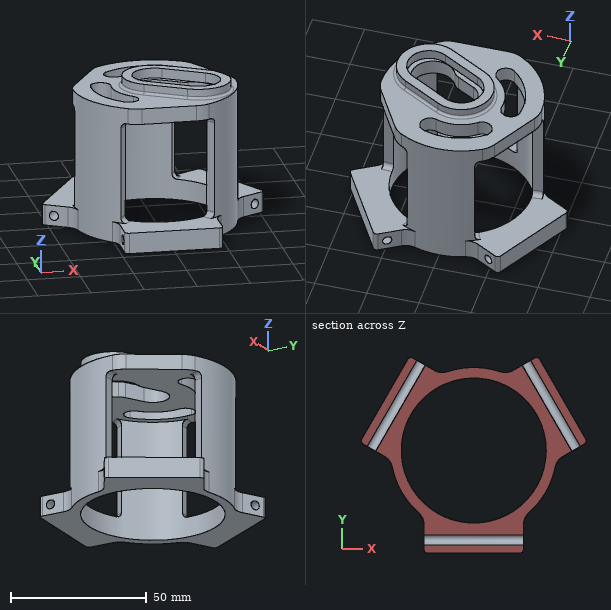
import cadquery as cq
import math

pad_height = 8.0
plate_top = 52.7
total_height = 56.5
plate_thickness = 6.0
plate_bottom = plate_top - plate_thickness
rim_height = total_height - plate_top

body_radius = 30.8
bore_radius = 53.4 / 2
window_angle = 70.0
window_fillet = 2.0
flat_distance = 28.0
flat_blend_radius = 10.0

pad_angles = (30, 150, 270)
pad_reach = 38.0
pad_width = 36.85
pad_corner_radius = 1.5
pad_neck_radius = 6.0
pad_hole_diameter = 3.5
pad_hole_distance = 33.0

rim_angle = -30.0
rim_length = 17.0
rim_radius = 12.15
rim_foot_fillet = 1.0
recess_radius = 8.3
keyhole_narrow_radius = 6.2
keyhole_wide_radius = 8.2
keyhole_length = 15.0
keyhole_blend_radius = 5.0

slot_path_radius = 20.0
slot_width = 7.5
slot_near_angle = 22.0
slot_far_angle = 80.0


def polar(radius, degrees):
    """Point at the given radius and angle around the body axis."""
    angle = math.radians(degrees)
    return (radius * math.cos(angle), radius * math.sin(angle))


def oblong(radius, bottom, height):
    """Round-ended block from the body axis to the far end of the rim."""
    return (
        cq.Workplane("XY", origin=(0, 0, bottom))
        .center(rim_length / 2, 0)
        .slot2D(rim_length + 2 * radius, 2 * radius)
        .extrude(height)
        .rotate((0, 0, 0), (0, 0, 1), rim_angle)
    )


def base():
    """Round flange with three pads, blended at their necks."""
    flange = cq.Workplane("XY").circle(body_radius).extrude(pad_height)
    for angle in pad_angles:
        pad = (
            cq.Workplane("XY")
            .center(pad_reach / 2, 0)
            .rect(pad_reach, pad_width)
            .extrude(pad_height)
            .edges("|Z and >X")
            .fillet(pad_corner_radius)
        )
        flange = flange.union(pad.rotate((0, 0, 0), (0, 0, 1), angle))

    neck_half_angle = math.degrees(math.asin(pad_width / 2 / body_radius))
    for angle in pad_angles:
        for side in (-1, 1):
            x, y = polar(body_radius, angle + side * neck_half_angle)
            corner = cq.selectors.NearestToPointSelector((x, y, pad_height / 2))
            flange = flange.edges("|Z").edges(corner).fillet(pad_neck_radius)
    return flange


def upper_body():
    """Solid column above the base, flattened over each pad with blended flats."""
    height = plate_top - pad_height
    column = cq.Workplane("XY", origin=(0, 0, pad_height)).circle(body_radius).extrude(height)
    for angle in pad_angles:
        beyond_flat = (
            cq.Workplane("XY", origin=(flat_distance + body_radius / 2, 0, pad_height))
            .rect(body_radius, 2 * body_radius)
            .extrude(height)
            .rotate((0, 0, 0), (0, 0, 1), angle)
        )
        column = column.cut(beyond_flat)
    return column.edges("|Z").fillet(flat_blend_radius)


def add_rim(body):
    """Stand the oblong rim on the plate with a concave blend around its foot."""
    side_distance = math.hypot(rim_length / 2, rim_radius)
    side_angle = rim_angle + math.degrees(math.atan2(rim_radius, rim_length / 2))
    side_x, side_y = polar(side_distance, side_angle)
    foot_edge = cq.selectors.NearestToPointSelector((side_x, side_y, plate_top))
    rim = oblong(rim_radius, plate_top, rim_height)
    return body.union(rim).edges(foot_edge).fillet(rim_foot_fillet)


def window(angle):
    """Wedge between two legs, with rounded corners at its top and bottom."""
    half_angle = window_angle / 2
    reach = 2 * body_radius
    return (
        cq.Workplane("XY", origin=(0, 0, pad_height))
        .polyline([(0, 0), polar(reach, -half_angle), polar(reach, half_angle)])
        .close()
        .extrude(plate_bottom - pad_height)
        .faces("|Z")
        .edges("not >X")
        .fillet(window_fillet)
        .rotate((0, 0, 0), (0, 0, 1), angle)
    )


def pad_hole(angle):
    """Hole running across a pad from side to side."""
    return (
        cq.Workplane("XZ", origin=(pad_hole_distance, pad_width / 2, pad_height / 2))
        .circle(pad_hole_diameter / 2)
        .extrude(pad_width)
        .rotate((0, 0, 0), (0, 0, 1), angle)
    )


def keyhole():
    """Narrow slot opening into a larger round hole, cut through the plate."""
    half = keyhole_narrow_radius
    wide = cq.Workplane("XY").center(keyhole_length, 0).circle(keyhole_wide_radius).extrude(plate_thickness)
    narrow = cq.Workplane("XY").circle(half).extrude(plate_thickness)
    throat = (
        cq.Workplane("XY")
        .center(keyhole_length / 2, 0)
        .rect(keyhole_length, 2 * half)
        .extrude(plate_thickness)
    )
    cutter = wide.union(narrow).union(throat)
    corner_x = keyhole_length - math.sqrt(keyhole_wide_radius**2 - half**2)
    for side in (-1, 1):
        corner = cq.selectors.NearestToPointSelector((corner_x, side * half, plate_thickness / 2))
        cutter = cutter.edges("|Z").edges(corner).fillet(keyhole_blend_radius)
    return cutter.rotate((0, 0, 0), (0, 0, 1), rim_angle).translate((0, 0, plate_bottom))


def curved_slot(start, end):
    """Round-ended slot following an arc around the body axis."""
    inner = slot_path_radius - slot_width / 2
    outer = slot_path_radius + slot_width / 2
    middle = (start + end) / 2
    cutter = (
        cq.Workplane("XY", origin=(0, 0, plate_bottom))
        .moveTo(*polar(inner, start))
        .threePointArc(polar(inner, middle), polar(inner, end))
        .lineTo(*polar(outer, end))
        .threePointArc(polar(outer, middle), polar(outer, start))
        .close()
        .extrude(plate_thickness)
    )
    ends = (
        cq.Workplane("XY", origin=(0, 0, plate_bottom))
        .pushPoints([polar(slot_path_radius, start), polar(slot_path_radius, end)])
        .circle(slot_width / 2)
        .extrude(plate_thickness)
    )
    return cutter.union(ends)


result = base().union(upper_body())
result = add_rim(result)

result = result.cut(cq.Workplane("XY").circle(bore_radius).extrude(plate_bottom))
for pad_angle in pad_angles:
    result = result.cut(window(pad_angle)).cut(pad_hole(pad_angle))

result = result.cut(oblong(recess_radius, plate_top, rim_height))
result = result.cut(keyhole())

slot_axis = rim_angle + 180
for side in (-1, 1):
    near_end = slot_axis + side * slot_near_angle
    far_end = slot_axis + side * slot_far_angle
    result = result.cut(curved_slot(near_end, far_end))